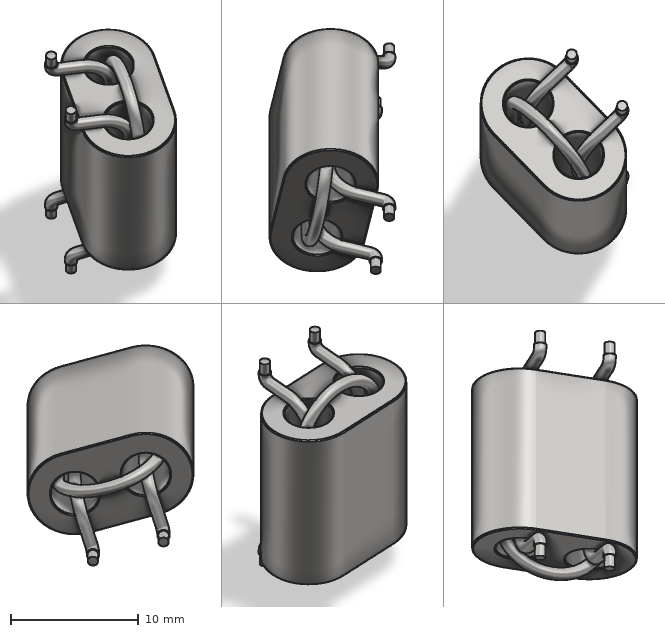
import cadquery as cq
import math

core_length = 13.3
core_depth = 7.5
core_height = 13.95
bore_diameter = 3.8
edge_chamfer = 0.1
bore_spacing = core_length - core_depth

wire_diameter = 1.0
bare_diameter = 0.82
bare_length = 1.05
wire_span = 19.52
core_lift = 0.07

crown_radius = 4.5
shoulder_radius = 2.5
loop_leg_x = 4.18
loop_y = 0.53
loop_reach = 8.33
crown_z = loop_reach - crown_radius
shoulder_x = loop_leg_x - shoulder_radius
shoulder_angle = math.acos(shoulder_x / (crown_radius - shoulder_radius))
shoulder_z = crown_z + (crown_radius - shoulder_radius) * math.sin(shoulder_angle)

lead_x = bore_spacing / 2
lead_leg_y = 0.15
lead_end_y = -4.67
lead_leg_z = 4.9
rise_angle = math.radians(8)
bore_bend_radius = 2.75
end_bend_radius = 0.6
tip_z = wire_span / 2
insulation_end_z = tip_z - bare_length

back_crossing = cq.Vector(3.3, 1.3, 1.0)
front_crossing = cq.Vector(3.2, 0.1, -2.0)


def make_core():
    block = cq.Workplane("XY").slot2D(core_length, core_depth).extrude(core_height / 2, both=True)
    bores = (
        cq.Workplane("XY")
        .pushPoints([(-lead_x, 0), (lead_x, 0)])
        .circle(bore_diameter / 2)
        .extrude(core_height / 2, both=True)
    )
    return block.cut(bores).faces("<Z or >Z").edges().chamfer(edge_chamfer)


def lead_edges():
    """Centreline of the right-hand lower lead, from its insulation end up into the bore."""

    def at(y, z):
        return cq.Vector(lead_x, y, -z)

    def on_arc(center_y, center_z, radius, angle):
        return at(center_y + radius * math.cos(angle), center_z + radius * math.sin(angle))

    bore_y = lead_leg_y - bore_bend_radius
    bore_turn = math.pi / 2 - rise_angle
    bore_arc = [on_arc(bore_y, lead_leg_z, bore_bend_radius, bore_turn * part) for part in (0, 0.5, 1)]

    end_y = lead_end_y + end_bend_radius
    run_offset = (bore_bend_radius + end_bend_radius) / math.cos(rise_angle)
    end_z = lead_leg_z + run_offset + (bore_y - end_y) * math.tan(rise_angle)
    end_arc = [on_arc(end_y, end_z, end_bend_radius, math.pi + bore_turn * part) for part in (0, 0.5, 1)]

    return [
        cq.Edge.makeLine(at(lead_end_y, insulation_end_z), end_arc[0]),
        cq.Edge.makeThreePointArc(*end_arc),
        cq.Edge.makeLine(end_arc[2], bore_arc[2]),
        cq.Edge.makeThreePointArc(*reversed(bore_arc)),
    ]


def loop_edges():
    """Centreline of the right-hand half of the loop, from the bore up to its top."""

    def on_shoulder(angle):
        return cq.Vector(
            shoulder_x + shoulder_radius * math.cos(angle),
            loop_y,
            shoulder_z + shoulder_radius * math.sin(angle),
        )

    def on_crown(angle):
        return cq.Vector(crown_radius * math.cos(angle), loop_y, crown_z + crown_radius * math.sin(angle))

    top_angle = math.pi / 2
    shoulder_end = on_shoulder(shoulder_angle)
    crown_middle = on_crown((shoulder_angle + top_angle) / 2)
    return [
        cq.Edge.makeThreePointArc(on_shoulder(0), on_shoulder(shoulder_angle / 2), shoulder_end),
        cq.Edge.makeThreePointArc(shoulder_end, crown_middle, on_crown(top_angle)),
    ]


def make_wire(crossing_point):
    """Wire with a loop above the core and two leads below it."""
    upward = cq.Vector(0, 0, 1)
    crossing = cq.Edge.makeSpline(
        [
            cq.Vector(lead_x, lead_leg_y, -lead_leg_z),
            crossing_point,
            cq.Vector(loop_leg_x, loop_y, shoulder_z),
        ],
        tangents=[upward, upward],
    )
    path = cq.Wire.assembleEdges(lead_edges() + [crossing] + loop_edges())
    insulated = (
        cq.Workplane("XY", origin=(lead_x, lead_end_y, -insulation_end_z))
        .circle(wire_diameter / 2)
        .sweep(cq.Workplane(path))
    )
    bare_tip = (
        cq.Workplane("XY", origin=(lead_x, lead_end_y, -tip_z))
        .circle(bare_diameter / 2)
        .extrude(bare_length)
    )
    half = insulated.union(bare_tip)
    return half.union(half.mirror("YZ"))


core = make_core().translate((0, 0, core_lift))
loop_above_wire = make_wire(back_crossing)
loop_below_wire = make_wire(front_crossing).mirror("XY")

result = cq.Compound.makeCompound([core.val(), loop_above_wire.val(), loop_below_wire.val()])